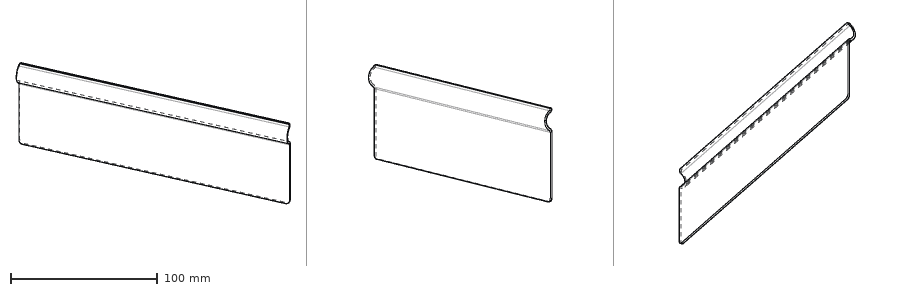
import cadquery as cq
import math

length = 200.0
height = 65.5
depth = 6.25

thickness = 1.5
bead_outer_radius = 8.0
bead_inner_radius = bead_outer_radius - thickness
bead_axis_y = bead_outer_radius - depth

front_bend_radius = 1.5
back_bend_radius = front_bend_radius + thickness

rim_height = 0.25

bottom_corner_radius = 3.0
top_corner_radius = 1.5

bend_axis_y = -thickness - front_bend_radius
bend_offset_y = bead_axis_y - bend_axis_y
axis_distance = bead_outer_radius + front_bend_radius
bend_offset_z = math.sqrt(axis_distance**2 - bend_offset_y**2)
bend_angle = math.atan2(bend_offset_z, bend_offset_y)
bead_axis_z = height - rim_height - bend_offset_z


def bead_point(radius, side):
    """Point where a bead arc meets the bend above (side 1) or below (side -1)."""
    y = bead_axis_y - radius * math.cos(bend_angle)
    z = bead_axis_z + side * radius * math.sin(bend_angle)
    return (y, z)


def bend_middle(radius, side):
    """Mid point of a bend arc above (side 1) or below (side -1) the bead."""
    half_angle = bend_angle / 2
    y = bend_axis_y + radius * math.cos(half_angle)
    z = bead_axis_z + side * (bend_offset_z - radius * math.sin(half_angle))
    return (y, z)


def make_sheet():
    """Bent sheet section in the YZ plane, extruded along X."""
    front_y = -thickness
    upper_z = bead_axis_z + bend_offset_z
    lower_z = bead_axis_z - bend_offset_z
    front_apex = (bead_axis_y - bead_outer_radius, bead_axis_z)
    back_apex = (bead_axis_y - bead_inner_radius, bead_axis_z)
    return (
        cq.Workplane("YZ")
        .moveTo(0, 0)
        .lineTo(front_y, 0)
        .lineTo(front_y, lower_z)
        .threePointArc(bend_middle(front_bend_radius, -1), bead_point(bead_outer_radius, -1))
        .threePointArc(front_apex, bead_point(bead_outer_radius, 1))
        .threePointArc(bend_middle(front_bend_radius, 1), (front_y, upper_z))
        .lineTo(front_y, height)
        .lineTo(0, height)
        .lineTo(0, upper_z)
        .threePointArc(bend_middle(back_bend_radius, 1), bead_point(bead_inner_radius, 1))
        .threePointArc(back_apex, bead_point(bead_inner_radius, -1))
        .threePointArc(bend_middle(back_bend_radius, -1), (0, lower_z))
        .close()
        .extrude(length)
    )


def make_outline():
    """Block with the rounded front outline, deep enough to enclose the sheet."""
    return (
        cq.Workplane("XY")
        .box(length, depth, height, centered=False)
        .translate((0, -depth, 0))
        .edges("|Y and <Z")
        .fillet(bottom_corner_radius)
        .edges("|Y and >Z")
        .fillet(top_corner_radius)
    )


result = make_sheet().intersect(make_outline())